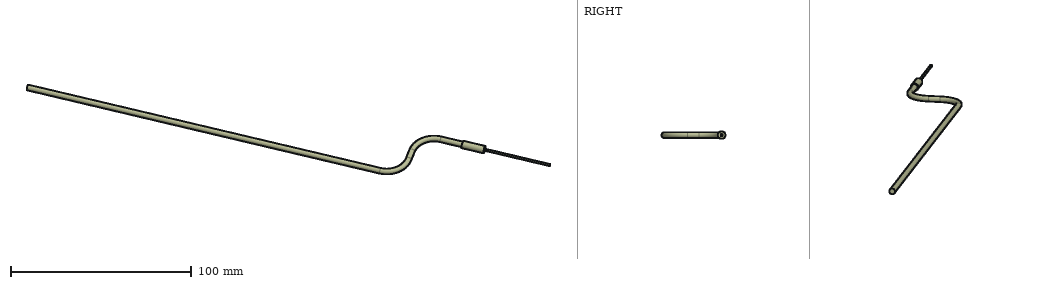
import cadquery as cq

INCH = 25.4

overall_length = 293.52

rod_diameter = 0.13 * INCH
bend_radius = 0.5 * INCH
riser_length = 0.25 * INCH
upper_run_length = 0.5 * INCH

collar_diameter = 0.17 * INCH
collar_length = 0.5 * INCH
wire_diameter = 0.05 * INCH
tip_length = 0.01 * INCH
wire_length = 1.5 * INCH - tip_length

tip_start_x = overall_length - tip_length
wire_start_x = tip_start_x - wire_length
collar_start_x = wire_start_x - collar_length
upper_run_start_x = collar_start_x - upper_run_length
riser_x = upper_run_start_x - bend_radius
lower_run_end_x = riser_x - bend_radius
riser_end_y = bend_radius + riser_length
upper_axis_y = riser_end_y + bend_radius


def make_bent_rod():
    """Solid round rod swept along its S-shaped center line, free end at the origin."""
    center_line = (
        cq.Workplane("XY")
        .lineTo(lower_run_end_x, 0)
        .radiusArc((riser_x, bend_radius), -bend_radius)
        .lineTo(riser_x, riser_end_y)
        .radiusArc((upper_run_start_x, upper_axis_y), bend_radius)
        .lineTo(collar_start_x, upper_axis_y)
    )
    return cq.Workplane("YZ").circle(rod_diameter / 2).sweep(center_line)


def make_upper_cylinder(diameter, start_x, length):
    """Cylinder along X, centered on the upper axis."""
    return (
        cq.Workplane("YZ", origin=(start_x, upper_axis_y, 0))
        .circle(diameter / 2)
        .extrude(length)
    )


bent_rod = make_bent_rod()
collar = make_upper_cylinder(collar_diameter, collar_start_x, collar_length)
wire = make_upper_cylinder(wire_diameter, wire_start_x, wire_length)
wire_tip = make_upper_cylinder(wire_diameter, tip_start_x, tip_length)

result = cq.Compound.makeCompound([bent_rod.val(), collar.val(), wire.val(), wire_tip.val()])